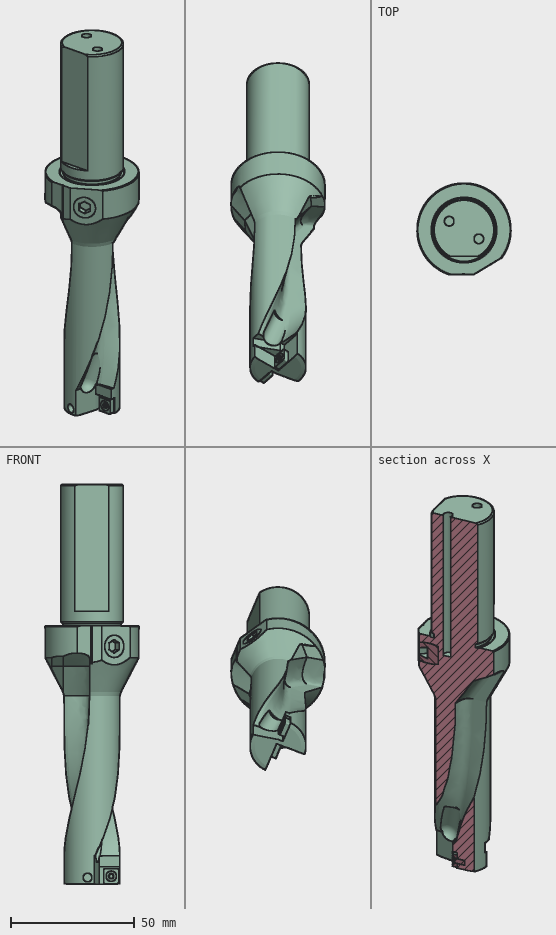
import cadquery as cq
import math

total_length = 162
shank_diameter = 25.5
shank_radius = shank_diameter / 2
shank_bottom_z = 106.5
shank_chamfer = 0.6
shank_flat_y = -10.7
shank_flat_bottom_z = 110.7

neck_radius = 11.8
neck_top_z = 105.6
relief_radius = 13.3
relief_depth = 0.3

flange_diameter = 38.0
flange_radius = flange_diameter / 2
flange_depth_y = 37.1
flange_flat_y = flange_radius - flange_depth_y
flange_top_z = 104.7
flange_bottom_z = 91.9
flange_chamfer = 0.3
index_groove_x = -0.2
index_groove_width = 0.5
index_groove_depth = 0.3

body_diameter = 22.7
body_radius = body_diameter / 2
body_top_z = 76.3
cone_end_radius = 11.8
cone_end_z = 78.0
tip_chamfer_width = 2.0
tip_chamfer_height = 0.3

flute_wall_x = -1.0
flute_floor_y = -0.2
flute_wall_end_y = -5.0
flute_land_x = -9.9
flute_land_slope = 0.2
flute_reach = 16.2
flute_bottom_z = 11.7
flute_twist = 83
flute_twist_power = 1.95
flute_sections = 12
runout_land_x = -11.7
runout_land_slope = 0.9
runout_bend_z = 88.3
runout_top_z = 93.6
runout_angle = 33
runout_end_angle = 60

nose_radius = 4.2
nose_center = (-3.4, 5.0, 13.0)
nose_run = (-3.2, -2.8, 11.3)

insert_size = 6.0
insert_thickness = 2.1
insert_corner_radius = 0.5
insert_bottom_z = 0.3
insert_center_z = insert_bottom_z + insert_size / 2
insert_face_offset = 1.1
outer_insert_x = 7.8
inner_insert_x = -2.3
pocket_top_z = 7.1
pocket_back_x = 1.0
outer_wall_foot_x = 2.9
inner_ledge_outer_x = 2.1
inner_ledge_foot_x = -2.9

screw_head_radius = 2.1
screw_shank_radius = 1.1
screw_head_height = 1.1
screw_length = 5.5
screw_drive_radius = 0.8
screw_lobe_radius = 0.3
screw_lobes = 6
screw_drive_depth = 1.0

plug_flat_angle = -59
plug_flat_distance = 17.5
plug_radius = 4.5
plug_length = 7.3
plug_z = 96.4
plug_hex_across_flats = 4.7
plug_hex_depth = 3.2
plug_hex_sides = 6
plug_hex_turn = 90
coolant_bore_x = 6.0
coolant_bore_y = -3.5
coolant_bore_radius = 2.0
coolant_bore_depth = 64.8
outlet_x = -1.8
outlet_z = 2.8
outlet_radius = 1.8
outlet_depth = 4.9


def half_turn(shape):
    return shape.rotate((0, 0, 0), (0, 0, 1), 180)


def slab(x_min, x_max, y_min, y_max, z_min, z_max):
    size = (x_max - x_min, y_max - y_min, z_max - z_min)
    return cq.Workplane("XY").box(*size, centered=False).translate((x_min, y_min, z_min))


def turned_blank():
    return (
        cq.Workplane("XZ")
        .moveTo(0, 0)
        .lineTo(body_radius - tip_chamfer_width, 0)
        .lineTo(body_radius, tip_chamfer_height)
        .lineTo(body_radius, body_top_z)
        .lineTo(cone_end_radius, cone_end_z)
        .lineTo(flange_radius, flange_bottom_z)
        .lineTo(flange_radius, flange_top_z - flange_chamfer)
        .lineTo(flange_radius - flange_chamfer, flange_top_z)
        .lineTo(relief_radius, flange_top_z)
        .lineTo(relief_radius - relief_depth, flange_top_z - relief_depth)
        .lineTo(neck_radius, flange_top_z - relief_depth)
        .lineTo(neck_radius, neck_top_z)
        .lineTo(shank_radius, shank_bottom_z)
        .lineTo(shank_radius, total_length - shank_chamfer)
        .lineTo(shank_radius - shank_chamfer, total_length)
        .lineTo(0, total_length)
        .close()
        .revolve(360, (0, 0), (0, 1))
    )


def shank_flat():
    return slab(-shank_radius, shank_radius, -shank_radius, shank_flat_y, shank_flat_bottom_z, total_length)


def index_groove():
    half_width = index_groove_width / 2
    return slab(
        index_groove_x - half_width, index_groove_x + half_width,
        -flange_radius, flange_flat_y + index_groove_depth,
        cone_end_z, flange_top_z,
    )


def flange_flats():
    straight = slab(-flange_radius, flange_radius, -flange_radius, flange_flat_y, cone_end_z, flange_top_z)
    slanted = slab(
        plug_flat_distance, flange_radius, -flange_radius, flange_radius, cone_end_z, flange_top_z
    ).rotate((0, 0, 0), (0, 0, 1), plug_flat_angle)
    return straight.union(slanted)


def flute_outline(land_x, land_slope):
    bevel_end_y = flute_floor_y + (flute_reach + land_x) * land_slope
    wall_end = (flute_wall_x, flute_wall_end_y)
    corner = (flute_wall_x, flute_floor_y)
    floor_end = (land_x, flute_floor_y)
    return (
        cq.Workplane("XY")
        .moveTo(flute_wall_x, -flute_reach)
        .lineTo(*wall_end)
        .bezier([wall_end, corner, floor_end])
        .lineTo(-flute_reach, bevel_end_y)
        .lineTo(-flute_reach, -flute_reach)
        .close()
        .val()
    )


def twisted_flute():
    outline = flute_outline(flute_land_x, flute_land_slope)
    wires = []
    for index in range(flute_sections + 1):
        share = index / flute_sections
        z = body_top_z + (flute_bottom_z - body_top_z) * share
        turn = -flute_twist * share ** flute_twist_power
        wires.append(outline.rotate(cq.Vector(0, 0, 0), cq.Vector(0, 0, 1), turn).translate(cq.Vector(0, 0, z)))
    return cq.Workplane(cq.Solid.makeLoft(wires))


def flute_runout():
    rise = runout_bend_z - body_top_z
    lean = -rise * math.tan(math.radians(runout_angle))
    end_rise = runout_top_z - runout_bend_z
    end_lean = -end_rise * math.tan(math.radians(runout_end_angle))
    start = flute_outline(runout_land_x, runout_land_slope).translate(cq.Vector(0, 0, body_top_z))
    bend = start.translate(cq.Vector(0, lean, rise))
    lower = cq.Solid.extrudeLinear(start, [], cq.Vector(0, lean, rise))
    upper = cq.Solid.extrudeLinear(bend, [], cq.Vector(0, end_lean, end_rise))
    return cq.Workplane(lower).union(cq.Workplane(upper))


def ball_nose():
    length = math.hypot(*nose_run)
    shaft = cq.Solid.makeCylinder(nose_radius, length, cq.Vector(*nose_center), cq.Vector(*nose_run))
    ball = cq.Workplane("XY").sphere(nose_radius).translate(nose_center)
    return ball.union(cq.Workplane(shaft))


def outer_pocket():
    space = (
        cq.Workplane("XY")
        .moveTo(pocket_back_x, -body_radius)
        .lineTo(outer_wall_foot_x, -insert_face_offset)
        .lineTo(body_radius, -insert_face_offset)
        .lineTo(body_radius, -body_radius)
        .close()
        .extrude(flute_bottom_z)
    )
    seat_y = insert_thickness - insert_face_offset
    seat = slab(outer_wall_foot_x, body_radius, -insert_face_offset, seat_y, 0, pocket_top_z)
    return space.union(seat)


def inner_pocket():
    seat_y = insert_face_offset - insert_thickness
    seat = slab(-body_radius, pocket_back_x, seat_y, body_radius, 0, pocket_top_z)
    ledge = (
        cq.Workplane("XY", origin=(0, 0, pocket_top_z))
        .moveTo(inner_ledge_outer_x, body_radius)
        .lineTo(inner_ledge_foot_x, insert_face_offset)
        .lineTo(inner_ledge_foot_x, seat_y)
        .lineTo(-body_radius, seat_y)
        .lineTo(-body_radius, body_radius)
        .close()
        .extrude(flute_bottom_z - pocket_top_z)
    )
    return seat.union(ledge)


def at_outer_seat(shape):
    return shape.translate((outer_insert_x, -insert_face_offset, insert_center_z))


def at_inner_seat(shape):
    return half_turn(shape).translate((inner_insert_x, insert_face_offset, insert_center_z))


seat_placements = [at_outer_seat, at_inner_seat]


def screw_blank():
    return (
        cq.Workplane("XY")
        .lineTo(screw_head_radius, 0)
        .lineTo(screw_shank_radius, screw_head_height)
        .lineTo(screw_shank_radius, screw_length)
        .lineTo(0, screw_length)
        .close()
        .revolve(360, (0, 0), (0, 1))
    )


def insert_screw():
    drive = cq.Workplane("XZ").circle(screw_drive_radius).extrude(-screw_drive_depth)
    lobes = (
        cq.Workplane("XZ")
        .polarArray(screw_drive_radius, 0, 360, screw_lobes)
        .circle(screw_lobe_radius)
        .extrude(-screw_drive_depth)
    )
    return screw_blank().cut(drive).cut(lobes)


def insert():
    plate = (
        cq.Workplane("XZ")
        .rect(insert_size, insert_size)
        .extrude(-insert_thickness)
        .edges("|Y")
        .fillet(insert_corner_radius)
    )
    return plate.cut(screw_blank())


def plug_blank():
    return (
        cq.Workplane("YZ", origin=(plug_flat_distance, 0, plug_z))
        .circle(plug_radius)
        .extrude(-plug_length)
        .rotate((0, 0, 0), (0, 0, 1), plug_flat_angle)
    )


def coolant_plug():
    hex_across_corners = plug_hex_across_flats / math.cos(math.pi / plug_hex_sides)
    socket = (
        cq.Workplane("YZ", origin=(plug_flat_distance, 0, plug_z))
        .transformed(rotate=(0, 0, plug_hex_turn))
        .polygon(plug_hex_sides, hex_across_corners)
        .extrude(-plug_hex_depth)
        .rotate((0, 0, 0), (0, 0, 1), plug_flat_angle)
    )
    return plug_blank().cut(socket)


def coolant_bores():
    return (
        cq.Workplane("XY", origin=(0, 0, total_length))
        .pushPoints([(coolant_bore_x, coolant_bore_y), (-coolant_bore_x, -coolant_bore_y)])
        .circle(coolant_bore_radius)
        .extrude(-coolant_bore_depth)
    )


def coolant_outlet():
    return (
        cq.Workplane("XZ", origin=(outlet_x, -body_radius, outlet_z))
        .circle(outlet_radius)
        .extrude(-outlet_depth)
    )


def drill_body():
    body = turned_blank().cut(shank_flat()).cut(flange_flats()).cut(index_groove())
    for cutter in (twisted_flute(), flute_runout(), ball_nose()):
        body = body.cut(cutter).cut(half_turn(cutter))
    body = body.cut(outer_pocket()).cut(inner_pocket())
    for place in seat_placements:
        body = body.cut(place(screw_blank()))
    return body.cut(plug_blank()).cut(coolant_bores()).cut(coolant_outlet())


drill = drill_body().solids()
plug = coolant_plug()
inserts = [place(insert()) for place in seat_placements]
screws = [place(insert_screw()) for place in seat_placements]

result = cq.Compound.makeCompound(
    [drill.val(), plug.val(), *[item.val() for item in inserts], *[item.val() for item in screws]]
)